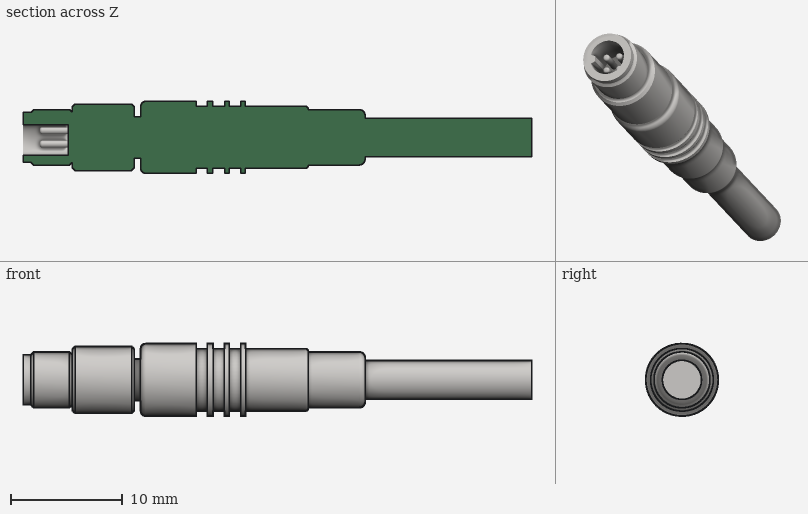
import cadquery as cq


tip_diameter = 4.5
nose_diameter = 5.0
sleeve_diameter = 6.0
neck_diameter = 3.75
grip_diameter = 6.5
boot_diameter = 5.6
boot_tail_diameter = 5.0
cable_diameter = 3.5

nose_start = 0.7
nose_end = 4.4
sleeve_end = 9.95
grip_start = 10.5
grip_end = 15.5
boot_step = 25.52
boot_end = 30.6
cable_end = 45.5

grip_ribs = [(16.45, 0.55), (18.0, 0.45), (19.45, 0.45)]

nose_chamfer = (nose_diameter - tip_diameter) / 2
sleeve_chamfer = 0.25
grip_round = 0.5
boot_step_round = (boot_diameter - boot_tail_diameter) / 2
boot_end_round = 0.55

socket_diameter = 3.15
socket_depth = 4.0
key_base_width = 0.9
key_tip_width = 0.48
key_tip_offset = 1.125
pin_diameter = 0.6
pin_length = 2.5
pin_nose_round = 0.2
pin_spacing = 1.2


def cylinder(diameter, start, end):
    """Solid cylinder on the X axis between two X positions."""
    return cq.Workplane("YZ", origin=(start, 0, 0)).circle(diameter / 2).extrude(end - start)


def make_plug():
    """Tip, nose, coupling sleeve and the neck behind it."""
    tip = cylinder(tip_diameter, 0, nose_start)
    nose = cylinder(nose_diameter, nose_start, nose_end).edges("%CIRCLE").chamfer(nose_chamfer)
    sleeve = cylinder(sleeve_diameter, nose_end, sleeve_end).edges("%CIRCLE").chamfer(sleeve_chamfer)
    neck = cylinder(neck_diameter, sleeve_end, grip_start)
    return tip.union(nose).union(sleeve).union(neck)


def make_boot():
    """Grip with its ribs, stepped boot and cable."""
    grip = cylinder(grip_diameter, grip_start, grip_end).faces("<X").edges().fillet(grip_round)
    body = cylinder(boot_diameter, grip_end, boot_step).faces(">X").edges().fillet(boot_step_round)
    tail = cylinder(boot_tail_diameter, boot_step, boot_end).faces(">X").edges().fillet(boot_end_round)
    boot = grip.union(body).union(tail)
    for start, width in grip_ribs:
        boot = boot.union(cylinder(grip_diameter, start, start + width))
    return boot.union(cylinder(cable_diameter, boot_end, cable_end))


def make_socket():
    """Space removed from the mating end, leaving a tapered key on the +Y side."""
    wall_offset = socket_diameter / 2
    key = (
        cq.Workplane("YZ")
        .moveTo(wall_offset, -key_base_width / 2)
        .lineTo(wall_offset, key_base_width / 2)
        .lineTo(key_tip_offset, key_tip_width / 2)
        .lineTo(key_tip_offset, -key_tip_width / 2)
        .close()
        .extrude(socket_depth)
    )
    return cylinder(socket_diameter, 0, socket_depth).cut(key)


def make_pins():
    """Four round-nosed contact pins standing on the socket floor."""
    pin_start = socket_depth - pin_length
    pin = cylinder(pin_diameter, pin_start, socket_depth)
    pin = pin.faces("<X").edges().fillet(pin_nose_round)
    pins = cq.Workplane("YZ")
    for side in (-1, 1):
        for level in (-1, 1):
            pins = pins.union(pin.translate((0, side * pin_spacing / 2, level * pin_spacing / 2)))
    return pins


result = make_plug().union(make_boot()).cut(make_socket()).union(make_pins())